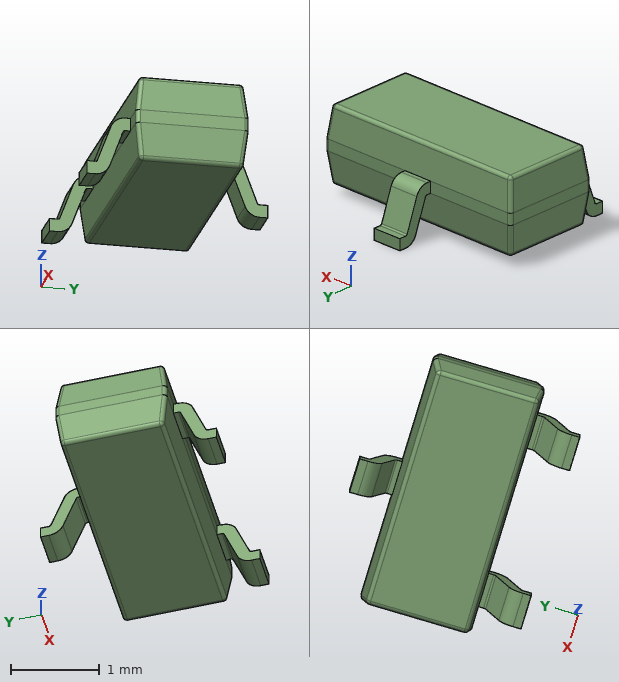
import cadquery as cq
import math

body_length = 2.9
body_width = 1.3
body_height = 0.995
standoff = 0.125
draft_angle = 7.0
edge_radius = 0.05

lead_width = 0.4
lead_thickness = 0.15
lead_span = 2.3
lead_pitch = 1.9
foot_length = 0.095
inner_bend_radius = 0.025
bend_angle = 69.5
lead_embed = 0.145

body_top = standoff + body_height
half_height = (body_height - lead_thickness) / 2
belt_bottom = standoff + half_height
belt_top = belt_bottom + lead_thickness
outer_bend_radius = inner_bend_radius + lead_thickness


def tapered_half(start_z, direction):
    """Half of the body, narrowing from the belt towards the top (+1) or the underside (-1)."""
    inset = half_height * math.tan(math.radians(draft_angle))
    return (
        cq.Workplane("XY", origin=(0, 0, start_z))
        .rect(body_length, body_width)
        .workplane(offset=direction * half_height)
        .rect(body_length - 2 * inset, body_width - 2 * inset)
        .loft(ruled=True)
    )


def make_body():
    belt = cq.Workplane("XY", origin=(0, 0, belt_bottom)).box(
        body_length, body_width, lead_thickness, centered=(True, True, False)
    )
    body = belt.union(tapered_half(belt_top, 1)).union(tapered_half(belt_bottom, -1))
    corner_edges = body.edges("not #Z")
    rim_edges = body.faces("<Z or >Z").edges()
    return body.newObject(corner_edges.vals() + rim_edges.vals()).fillet(edge_radius)


def arc_point(center, radius, angle):
    """Point on a circle, with the angle in degrees from +Y towards +Z."""
    turn = math.radians(angle)
    return (center[0] + radius * math.cos(turn), center[1] + radius * math.sin(turn))


def make_lead(center_x):
    """Lead on the +Y side: shoulder out of the body, sloping leg, then a flat foot."""
    bend = math.radians(bend_angle)
    toe_y = lead_span / 2
    bend_radii = inner_bend_radius + outer_bend_radius
    bend_drop = bend_radii * (1 - math.cos(bend))
    leg_run = (belt_bottom - bend_drop) / math.tan(bend)

    lower_y = toe_y - foot_length
    upper_y = lower_y - bend_radii * math.sin(bend) - leg_run
    upper = (upper_y, belt_bottom - inner_bend_radius)
    lower = (lower_y, outer_bend_radius)
    inside_y = body_width / 2 - lead_embed

    upper_end = 90 - bend_angle
    upper_mid = 90 - bend_angle / 2
    lower_end = upper_end - 180
    lower_mid = upper_mid - 180

    profile = (
        cq.Workplane("YZ", origin=(center_x - lead_width / 2, 0, 0))
        .moveTo(inside_y, belt_top)
        .lineTo(upper_y, belt_top)
        .threePointArc(
            arc_point(upper, outer_bend_radius, upper_mid),
            arc_point(upper, outer_bend_radius, upper_end),
        )
        .lineTo(*arc_point(lower, inner_bend_radius, lower_end))
        .threePointArc(
            arc_point(lower, inner_bend_radius, lower_mid),
            (lower_y, lead_thickness),
        )
        .lineTo(toe_y, lead_thickness)
        .lineTo(toe_y, 0)
        .lineTo(lower_y, 0)
        .threePointArc(
            arc_point(lower, outer_bend_radius, lower_mid),
            arc_point(lower, outer_bend_radius, lower_end),
        )
        .lineTo(*arc_point(upper, inner_bend_radius, upper_end))
        .threePointArc(
            arc_point(upper, inner_bend_radius, upper_mid),
            (upper_y, belt_bottom),
        )
        .lineTo(inside_y, belt_bottom)
        .close()
    )
    return profile.extrude(lead_width)


result = make_body().union(make_lead(0))
for side in (-1, 1):
    front_lead = make_lead(side * lead_pitch / 2).mirror("XZ")
    result = result.union(front_lead)